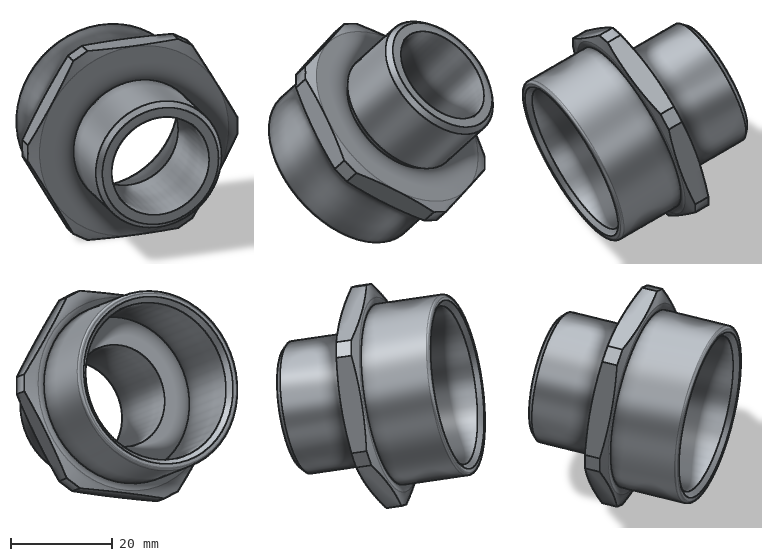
import cadquery as cq
import math

overall_length = 33.5
hex_start = 14.0
hex_end = 18.45
neck_end = 19.95

socket_radius = 18.07
socket_bore_radius = 15.8
socket_bore_depth = 16.0
rim_fillet = 0.55
bore_chamfer = 1.0

across_flats = 40.0
across_cut_corners = 44.2
cone_angle = 15.0
socket_side_face_radius = 19.45
spigot_side_face_radius = 19.95

spigot_radius = 13.25
spigot_chamfer = 1.0
neck_radius = spigot_radius - spigot_chamfer
through_hole_radius = 10.25


def cylinder(radius, start, end):
    """Cylinder on the X axis between two stations."""
    return cq.Workplane("YZ", origin=(start, 0, 0)).circle(radius).extrude(end - start)


def hex_prism(flats_distance, first_corner_angle):
    """Hexagonal prism spanning the collar, sized by its distance across flats."""
    corner_radius = flats_distance / 2 / math.cos(math.pi / 6)
    corners = []
    for i in range(6):
        angle = math.radians(first_corner_angle + 60 * i)
        corners.append((corner_radius * math.cos(angle), corner_radius * math.sin(angle)))
    return (
        cq.Workplane("YZ", origin=(hex_start, 0, 0))
        .polyline(corners)
        .close()
        .extrude(hex_end - hex_start)
    )


def collar_envelope():
    """Turned shape whose two conical sides bevel the collar's corners."""
    outer_radius = across_flats / math.sqrt(3)
    slope = math.tan(math.radians(cone_angle))
    socket_side_drop = (outer_radius - socket_side_face_radius) * slope
    spigot_side_drop = (outer_radius - spigot_side_face_radius) * slope
    return (
        cq.Workplane("XY")
        .moveTo(hex_start, 0)
        .lineTo(hex_start, socket_side_face_radius)
        .lineTo(hex_start + socket_side_drop, outer_radius)
        .lineTo(hex_end - spigot_side_drop, outer_radius)
        .lineTo(hex_end, spigot_side_face_radius)
        .lineTo(hex_end, 0)
        .close()
        .revolve(360, (0, 0, 0), (1, 0, 0))
    )


def make_collar():
    """Hexagon with flats facing up and down, corners cut flat and both faces coned."""
    hexagon = hex_prism(across_flats, 0)
    corner_cutter = hex_prism(across_cut_corners, 30)
    return hexagon.intersect(corner_cutter).intersect(collar_envelope())


def make_bore():
    """Socket bore with a bevelled mouth, stepping down to the through hole."""
    return (
        cq.Workplane("XY")
        .lineTo(0, socket_bore_radius + bore_chamfer)
        .lineTo(bore_chamfer, socket_bore_radius)
        .lineTo(socket_bore_depth, socket_bore_radius)
        .lineTo(socket_bore_depth, through_hole_radius)
        .lineTo(overall_length, through_hole_radius)
        .lineTo(overall_length, 0)
        .close()
        .revolve(360, (0, 0, 0), (1, 0, 0))
    )


socket = cylinder(socket_radius, 0, hex_end).faces("<X").edges().fillet(rim_fillet)
neck = cylinder(neck_radius, hex_start, neck_end)
spigot = cylinder(spigot_radius, neck_end, overall_length).faces(">X").chamfer(spigot_chamfer)

body = socket.union(make_collar()).union(neck).union(spigot)
result = body.cut(make_bore())